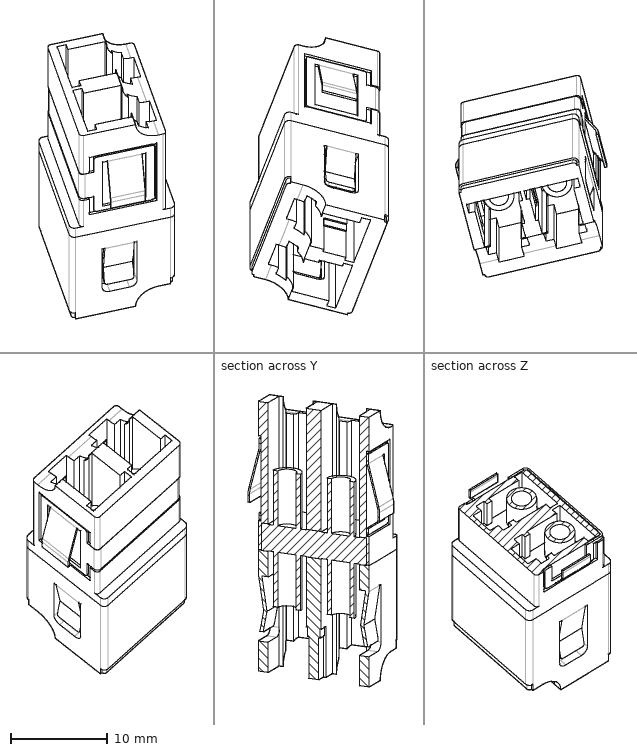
import cadquery as cq
import math

HEIGHT = 29.35
MID_Z = HEIGHT / 2
WIDTH = 12.82
UPPER_DEPTH = 9.33
LOWER_DEPTH = 11.35
UPPER_CORNER_R = 0.38
LOWER_CORNER_R = 0.55
HALF_WIDTH = WIDTH / 2

PLATE_THICK = 2.93
SEAM_Z = MID_Z - PLATE_THICK / 2
PLATE_TOP_Z = MID_Z + PLATE_THICK / 2
PLATE_WIDTH = 12.1
PLATE_Y_MIN = -3.93
PLATE_Y_MAX = 4.4

SCOOP_R = 2.45
SCOOP_EDGE_Y = 1.35

POCKET_X = 3.08
POCKET_BASE_HALF = 2.88
POCKET_BODY_HALF = 2.2
POCKET_NECK_HALF = 1.73
POCKET_KEY_HALF = 1.35
POCKET_BASE_Y = -3.7
POCKET_STEP_Y = -2.73
RIB_Y_MIN = 1.3
RIB_Y_MAX = 1.97
KEY_STEP_Y = 3.02
POCKET_KEY_Y = 4.15

RELIEF_EDGE_Y = -0.23
RELIEF_TOPS_Z = (5.55, 4.55)
RELIEF_STEP = 0.15

TUBE_X = 3.1
TUBE_Y = -1.3
TUBE_R = 1.58
BORE_R = 1.03
TUBE_REACH = 7.42

LIP_INSET = 0.2
FRONT_LIP_Z = 0.97
BACK_LIP_Z = 3.37

WINDOW_Y = -0.38
WINDOW_WIDTH = 3.75
WINDOW_BOTTOM_Z = 3.32
WINDOW_TOP_Z = 10.4
WINDOW_CORNER_R = 0.82
FINGER_WIDTH = 3.17
FINGER_TIP_Z = 4.35
FINGER_BEND_Z = 6.65
FINGER_BEND_DEPTH = 0.6
FINGER_TIP_DEPTH = 0.15
FINGER_THICK = 0.45
FINGER_CORNER_R = 0.3

RECESS_Z = 20.98
RECESS_DEPTH = 0.3
RECESS_WIDTH = 7.28
RECESS_HEIGHT = 9.2
RECESS_BAND_HEIGHT = 4.22
RECESS_CORNER_R = UPPER_CORNER_R

SHEET = 0.23
BAND_GAP = 0.03
CLIP_CORNER_R = 0.53
CHEEK_Y = 0.15
CHEEK_WIDTH = 6.57
CHEEK_BOTTOM_Z = 16.55
CHEEK_TOP_Z = 25.32
CHEEK_CORNER_R = 0.35
BAND_BOTTOM_Z = 19.05
BAND_TOP_Z = 23.0
CUTOUT_WIDTH = 4.67
CUTOUT_BOTTOM_Z = 17.22
CUTOUT_TOP_Z = 24.3
TONGUE_Y = 0.2
TONGUE_WIDTH = 3.73
TONGUE_SPAN = 15.25
TONGUE_BEND_Z = 19.45
TONGUE_TIP_Z = 18.2
TONGUE_BEND_R = 2.05


def block(x_size, y_min, y_max, z_min, z_max):
    """Box centred on X, given by its limits along Y and Z."""
    box = cq.Workplane("XY").box(x_size, y_max - y_min, z_max - z_min)
    return box.translate((0, (y_min + y_max) / 2, (z_min + z_max) / 2))


def rounded_block(x_size, y_size, corner_r, z_min, z_max):
    """Block centred on X and Y with rounded vertical edges."""
    return block(x_size, -y_size / 2, y_size / 2, z_min, z_max).edges("|Z").fillet(corner_r)


def both_sides(shape):
    """The shape together with its mirror image on the other X side."""
    return shape.union(shape.mirror("YZ"))


def pockets(z_min, z_max):
    """Two stepped pockets side by side, each with a foot, a body, ribs and a keyway."""
    right_half = [
        (POCKET_BASE_HALF, POCKET_BASE_Y),
        (POCKET_BASE_HALF, POCKET_STEP_Y),
        (POCKET_BODY_HALF, POCKET_STEP_Y),
        (POCKET_BODY_HALF, RIB_Y_MIN),
        (POCKET_NECK_HALF, RIB_Y_MIN),
        (POCKET_NECK_HALF, RIB_Y_MAX),
        (POCKET_BODY_HALF, RIB_Y_MAX),
        (POCKET_BODY_HALF, KEY_STEP_Y),
        (POCKET_KEY_HALF, KEY_STEP_Y),
        (POCKET_KEY_HALF, POCKET_KEY_Y),
    ]
    left_half = [(-x, y) for x, y in reversed(right_half)]
    pocket = (
        cq.Workplane("XY")
        .workplane(offset=z_min)
        .polyline(right_half + left_half)
        .close()
        .extrude(z_max - z_min)
        .translate((POCKET_X, 0, 0))
    )
    return both_sides(pocket)


def scoop(end_z):
    """Quarter-round cut from one end face through to the +Y side."""
    centre_y = SCOOP_EDGE_Y + SCOOP_R
    round_part = (
        cq.Workplane("YZ").center(centre_y, end_z).circle(SCOOP_R).extrude(HALF_WIDTH, both=True)
    )
    return round_part.union(block(WIDTH, centre_y, LOWER_DEPTH, end_z - SCOOP_R, end_z + SCOOP_R))


def clip_recess():
    """Shallow recess for the clip: a field on each side, joined by a band around the -Y side."""
    core = rounded_block(
        WIDTH - 2 * RECESS_DEPTH,
        UPPER_DEPTH - 2 * RECESS_DEPTH,
        RECESS_CORNER_R,
        SEAM_Z,
        HEIGHT,
    )
    half_field = RECESS_HEIGHT / 2
    half_band = RECESS_BAND_HEIGHT / 2
    fields = block(WIDTH, -RECESS_WIDTH / 2, RECESS_WIDTH / 2, RECESS_Z - half_field, RECESS_Z + half_field)
    band = block(WIDTH, -UPPER_DEPTH / 2, 0, RECESS_Z - half_band, RECESS_Z + half_band)
    return fields.union(band).cut(core)


def holder_plate():
    """Plate of the sleeve holder; it also shapes the hollow for it in the upper housing."""
    return block(PLATE_WIDTH, PLATE_Y_MIN, PLATE_Y_MAX, SEAM_Z, PLATE_TOP_Z)


def make_upper_housing():
    """Slim plug housing on a short collar of the wide section."""
    collar = rounded_block(WIDTH, LOWER_DEPTH, LOWER_CORNER_R, SEAM_Z, MID_Z)
    sleeve = rounded_block(WIDTH, UPPER_DEPTH, UPPER_CORNER_R, SEAM_Z, HEIGHT)
    body = collar.union(sleeve).cut(holder_plate())
    return body.cut(pockets(PLATE_TOP_Z, HEIGHT)).cut(scoop(HEIGHT)).cut(clip_recess())


def lip_steps():
    """Cuts that set the bottom edge back on the -Y and +Y sides, with rounded corners."""
    core = rounded_block(
        WIDTH - 2 * LIP_INSET,
        LOWER_DEPTH - 2 * LIP_INSET,
        LOWER_CORNER_R - LIP_INSET,
        0,
        SEAM_Z,
    )
    outer_y = LOWER_DEPTH / 2
    inner_y = outer_y - LOWER_CORNER_R
    front = block(WIDTH, -outer_y, -inner_y, 0, FRONT_LIP_Z)
    back = block(WIDTH, inner_y, outer_y, 0, BACK_LIP_Z)
    return front.union(back).cut(core)


def side_window():
    """Opening through the +X wall, with rounded bottom corners."""
    wall = HALF_WIDTH - (POCKET_X + POCKET_BODY_HALF)
    height = WINDOW_TOP_Z - WINDOW_BOTTOM_Z
    window = cq.Workplane("XY").box(wall, WINDOW_WIDTH, height)
    window = window.edges("|X and <Z").fillet(WINDOW_CORNER_R)
    return window.translate((HALF_WIDTH - wall / 2, WINDOW_Y, WINDOW_BOTTOM_Z + height / 2))


def snap_finger():
    """Bent finger that hangs from the top of the +X window."""
    outer = [
        (HALF_WIDTH, WINDOW_TOP_Z),
        (HALF_WIDTH - FINGER_BEND_DEPTH, FINGER_BEND_Z),
        (HALF_WIDTH - FINGER_TIP_DEPTH, FINGER_TIP_Z),
    ]
    inner = [(x - FINGER_THICK, z) for x, z in reversed(outer)]
    finger = cq.Workplane("XZ").polyline(outer + inner).close().extrude(FINGER_WIDTH / 2, both=True)
    finger = finger.faces("<Z").edges("|X").fillet(FINGER_CORNER_R)
    return finger.translate((0, WINDOW_Y, 0))


def middle_wall_relief():
    """Two steps beside the plug bodies, each deeper and lower than the one before."""
    wall = 2 * (POCKET_X - POCKET_BODY_HALF)
    space = 2 * POCKET_X
    relief = cq.Workplane("XY")
    for step, top_z in enumerate(RELIEF_TOPS_Z, start=1):
        core = block(wall - 2 * step * RELIEF_STEP, POCKET_STEP_Y, RELIEF_EDGE_Y, 0, top_z)
        relief = relief.union(block(space, POCKET_STEP_Y, RELIEF_EDGE_Y, 0, top_z).cut(core))
    return relief


def make_lower_housing():
    """Wide plug housing with a windowed snap finger on each X side."""
    body = rounded_block(WIDTH, LOWER_DEPTH, LOWER_CORNER_R, 0, SEAM_Z)
    body = body.cut(lip_steps()).cut(pockets(0, SEAM_Z)).cut(middle_wall_relief()).cut(scoop(0))
    return body.cut(both_sides(side_window())).union(both_sides(snap_finger()))


def make_sleeve_holder():
    """Plate with two tubes; each tube is bored from both ends down to the plate."""
    bottom_z = MID_Z - TUBE_REACH
    tube = cq.Workplane("XY").circle(TUBE_R).extrude(2 * TUBE_REACH)
    tube = tube.translate((TUBE_X, TUBE_Y, bottom_z))
    bore = cq.Workplane("XY").circle(BORE_R).extrude(TUBE_REACH - PLATE_THICK / 2)
    bores = bore.translate((TUBE_X, TUBE_Y, bottom_z)).union(bore.translate((TUBE_X, TUBE_Y, PLATE_TOP_Z)))
    return holder_plate().union(both_sides(tube)).cut(both_sides(bores))


def clip_tongue(clip_half):
    """Sheet tongue on the +X side: slopes outward from the cutout's top, then drops straight."""
    tip_x = TONGUE_SPAN / 2
    slope = math.atan2(tip_x - clip_half, CUTOUT_TOP_Z - TONGUE_BEND_Z)
    bend_drop = SHEET * math.tan(slope / 2)
    inner_root_z = CUTOUT_TOP_Z - bend_drop
    inner_bend_z = TONGUE_BEND_Z - bend_drop
    outline = [
        (clip_half, CUTOUT_TOP_Z),
        (tip_x, TONGUE_BEND_Z),
        (tip_x, TONGUE_TIP_Z),
        (tip_x - SHEET, TONGUE_TIP_Z),
        (tip_x - SHEET, inner_bend_z),
        (clip_half - SHEET, inner_root_z),
        (clip_half - SHEET, CUTOUT_TOP_Z),
    ]
    tongue = cq.Workplane("XZ").polyline(outline).close().extrude(TONGUE_WIDTH / 2, both=True)
    outer_bend = cq.selectors.NearestToPointSelector((tip_x, 0, TONGUE_BEND_Z))
    inner_bend = cq.selectors.NearestToPointSelector((tip_x - SHEET, 0, inner_bend_z))
    tongue = tongue.edges("|Y").edges(outer_bend).fillet(TONGUE_BEND_R + SHEET)
    tongue = tongue.edges("|Y").edges(inner_bend).fillet(TONGUE_BEND_R)
    return tongue.translate((0, TONGUE_Y, 0))


def make_clip():
    """Sheet clip: a band around the -Y side, a cheek on each X side and a tongue in each cheek."""
    inner_x = WIDTH - 2 * RECESS_DEPTH
    inner_y = UPPER_DEPTH - 2 * RECESS_DEPTH + 2 * BAND_GAP
    outer = rounded_block(inner_x + 2 * SHEET, inner_y + 2 * SHEET, CLIP_CORNER_R, SEAM_Z, HEIGHT)
    inner = rounded_block(inner_x, inner_y, RECESS_CORNER_R, SEAM_Z, HEIGHT)
    cheeks = block(
        WIDTH,
        CHEEK_Y - CHEEK_WIDTH / 2,
        CHEEK_Y + CHEEK_WIDTH / 2,
        CHEEK_BOTTOM_Z,
        CHEEK_TOP_Z,
    )
    cheeks = cheeks.edges("|X").fillet(CHEEK_CORNER_R)
    band = block(WIDTH, -UPPER_DEPTH / 2, 0, BAND_BOTTOM_Z, BAND_TOP_Z)
    cutout = block(
        WIDTH,
        CHEEK_Y - CUTOUT_WIDTH / 2,
        CHEEK_Y + CUTOUT_WIDTH / 2,
        CUTOUT_BOTTOM_Z,
        CUTOUT_TOP_Z,
    )
    sheet = cheeks.union(band).intersect(outer.cut(inner)).cut(cutout)
    return sheet.union(both_sides(clip_tongue(inner_x / 2 + SHEET)))


upper_housing = make_upper_housing()
lower_housing = make_lower_housing()
sleeve_holder = make_sleeve_holder()
clip = make_clip()

result = cq.Compound.makeCompound(
    [
        upper_housing.solids().val(),
        lower_housing.solids().val(),
        sleeve_holder.solids().val(),
        clip.solids().val(),
    ]
)